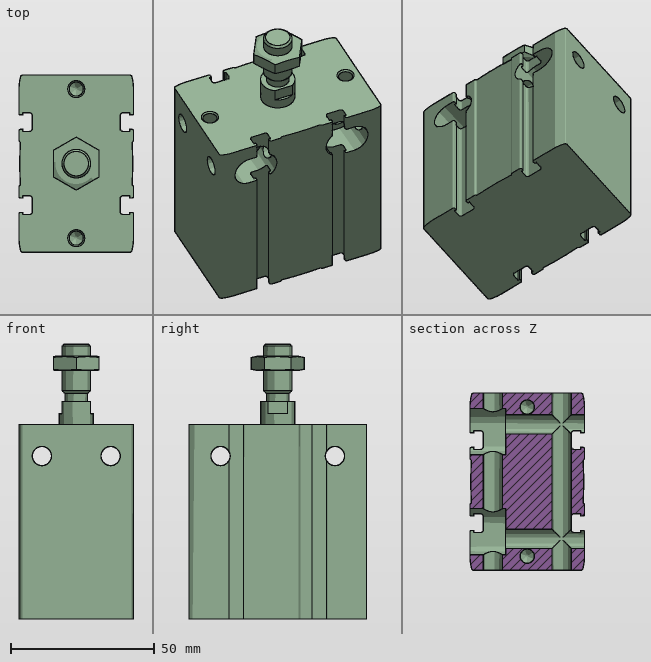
import cadquery as cq
import math

TOTAL_HEIGHT = 96.0
HOUSING_WIDTH = 40.0
HOUSING_LENGTH = 62.0
HOUSING_HEIGHT = 68.0

SIDE_ARC_RADIUS = 15.0
CORNER_ARC_START = 26.3
CORNER_RADIUS = 1.0

SIDE_RECESS_DEPTH = 0.5
SIDE_RECESS_MOUTH = 16.3
SIDE_RECESS_BLEND = 0.6
SIDE_RECESS_CROWN = 115.2

SLOT_OFFSET = 14.5
SLOT_MOUTH_WIDTH = 5.0
SLOT_WIDTH = 6.4
SLOT_LIP = 1.3
SLOT_DEPTH = 4.6
SLOT_CORNER_RADIUS = 0.9
SLOT_EDGE_RADIUS = 0.5

MOUNT_HOLE_DIAMETER = 6.6
MOUNT_HOLE_Z = HOUSING_HEIGHT - 11.0
CROSS_HOLE_X = 12.0
SIDE_HOLE_Y = 20.0
POCKET_WIDTH = 11.0
POCKET_INNER_Y = 15.0
POCKET_DEPTH = 12.5

TAP_DIAMETER = 4.9
TAP_MOUTH_DIAMETER = 6.0
TAP_Y = 26.0
TAP_DEPTH = 11.5
DRILL_POINT_ANGLE = 118.0

ROD_DIAMETER = 12.0
ROD_SHOULDER_Z = 76.0
FLATS_WIDTH = 10.0
FLATS_BOTTOM_Z = 71.7
NECK_DIAMETER = 8.0
THREAD_DIAMETER = 10.0
THREAD_END_DIAMETER = 8.5
THREAD_BOTTOM_Z = 79.8
THREAD_BOTTOM_TAPER = (THREAD_DIAMETER - NECK_DIAMETER) / 2
THREAD_TOP_CHAMFER = (THREAD_DIAMETER - THREAD_END_DIAMETER) / 2

NUT_ACROSS_FLATS = 16.0
NUT_THICKNESS = 5.0
NUT_TOP_Z = 91.8
NUT_FACE_DIAMETER = 14.4
NUT_CHAMFER_ANGLE = 12.0
HEXAGON_HALF_STEP = 30

HALF_WIDTH = HOUSING_WIDTH / 2
HALF_LENGTH = HOUSING_LENGTH / 2
SIDES = (-1, 1)


def side_arc_x(run):
    """X of the side arc at a given distance along Y past its start."""
    return HALF_WIDTH - SIDE_ARC_RADIUS + math.sqrt(SIDE_ARC_RADIUS**2 - run**2)


def housing_blank():
    """Block whose long sides curve inwards at both ends, with rounded corners."""
    arc_run = HALF_LENGTH - CORNER_ARC_START
    arc_middle = (side_arc_x(arc_run / 2), CORNER_ARC_START + arc_run / 2)
    outline = (
        cq.Workplane("XY")
        .moveTo(0, HALF_LENGTH)
        .lineTo(side_arc_x(arc_run), HALF_LENGTH)
        .threePointArc(arc_middle, (HALF_WIDTH, CORNER_ARC_START))
        .lineTo(HALF_WIDTH, 0)
        .mirrorX()
        .mirrorY()
    )
    block = outline.extrude(HOUSING_HEIGHT)
    return block.faces("<Y or >Y").edges("|Z").fillet(CORNER_RADIUS)


def side_recess():
    """Shallow relief in the middle of the +X side: S-shaped edges and a slightly convex floor."""
    arc_angle = math.acos(1 - SIDE_RECESS_DEPTH / 2 / SIDE_RECESS_BLEND)
    arc_run = SIDE_RECESS_BLEND * math.sin(arc_angle)
    half_run = SIDE_RECESS_BLEND * math.sin(arc_angle / 2)
    half_drop = SIDE_RECESS_BLEND * (1 - math.cos(arc_angle / 2))

    mouth_x = HALF_WIDTH
    mouth_y = SIDE_RECESS_MOUTH / 2
    inflection_x = mouth_x - SIDE_RECESS_DEPTH / 2
    inflection_y = mouth_y - arc_run
    floor_x = mouth_x - SIDE_RECESS_DEPTH
    floor_y = inflection_y - arc_run
    crown = SIDE_RECESS_CROWN - math.sqrt(SIDE_RECESS_CROWN**2 - floor_y**2)
    outer_arc_middle = (mouth_x - half_drop, mouth_y - half_run)
    inner_arc_middle = (floor_x + half_drop, floor_y + half_run)
    return (
        cq.Workplane("XY")
        .moveTo(mouth_x, mouth_y)
        .threePointArc(outer_arc_middle, (inflection_x, inflection_y))
        .threePointArc(inner_arc_middle, (floor_x, floor_y))
        .threePointArc((floor_x + crown, 0), (floor_x, -floor_y))
        .threePointArc((inner_arc_middle[0], -inner_arc_middle[1]), (inflection_x, -inflection_y))
        .threePointArc((outer_arc_middle[0], -outer_arc_middle[1]), (mouth_x, -mouth_y))
        .close()
        .extrude(HOUSING_HEIGHT)
    )


def sensor_slot(end):
    """T-shaped groove along the full height of the +X side, its mouth edges rounded outwards."""
    half_mouth = SLOT_MOUTH_WIDTH / 2
    round_end_x = HALF_WIDTH - SLOT_EDGE_RADIUS
    round_end_y = half_mouth + SLOT_EDGE_RADIUS
    round_middle_offset = SLOT_EDGE_RADIUS * (1 - math.sqrt(0.5))
    round_middle_x = HALF_WIDTH - round_middle_offset
    round_middle_y = half_mouth + round_middle_offset
    lip_x = HALF_WIDTH - SLOT_LIP
    mouth = (
        cq.Workplane("XY")
        .moveTo(lip_x, -half_mouth)
        .lineTo(round_end_x, -half_mouth)
        .threePointArc((round_middle_x, -round_middle_y), (HALF_WIDTH, -round_end_y))
        .lineTo(HALF_WIDTH, round_end_y)
        .threePointArc((round_middle_x, round_middle_y), (round_end_x, half_mouth))
        .lineTo(lip_x, half_mouth)
        .close()
        .extrude(HOUSING_HEIGHT)
    )
    channel_depth = SLOT_DEPTH - SLOT_LIP
    channel = (
        cq.Workplane("XY", origin=(lip_x - channel_depth / 2, 0, 0))
        .rect(channel_depth, SLOT_WIDTH)
        .extrude(HOUSING_HEIGHT)
        .edges("|Z and <X")
        .fillet(SLOT_CORNER_RADIUS)
    )
    return mouth.union(channel).translate((0, end * SLOT_OFFSET, 0))


def on_side(side, cutter):
    """Leave a cutter on the +X side, or turn it half a turn about Z onto the -X side."""
    return cutter if side > 0 else cutter.rotate((0, 0, 0), (0, 0, 1), 180)


def mount_hole_along_y(side):
    """Plain through hole from the front end to the back end."""
    return (
        cq.Workplane("XZ", origin=(side * CROSS_HOLE_X, HALF_LENGTH, MOUNT_HOLE_Z))
        .circle(MOUNT_HOLE_DIAMETER / 2)
        .extrude(HOUSING_LENGTH)
    )


def mount_hole_along_x(end):
    """Through hole across the housing that opens into a round-ended pocket on the -X side."""
    hole = (
        cq.Workplane("YZ", origin=(-HALF_WIDTH, end * SIDE_HOLE_Y, MOUNT_HOLE_Z))
        .circle(MOUNT_HOLE_DIAMETER / 2)
        .extrude(HOUSING_WIDTH)
    )
    pocket_length = SIDE_HOLE_Y - POCKET_INNER_Y + POCKET_WIDTH
    pocket_y = end * (SIDE_HOLE_Y + POCKET_INNER_Y) / 2
    pocket = (
        cq.Workplane("YZ", origin=(-HALF_WIDTH, pocket_y, MOUNT_HOLE_Z))
        .slot2D(pocket_length, POCKET_WIDTH)
        .extrude(POCKET_DEPTH)
    )
    return hole.union(pocket)


def tapped_hole(end):
    """Drilled hole with a cone bottom and a chamfered mouth in the top face."""
    radius = TAP_DIAMETER / 2
    mouth_radius = TAP_MOUTH_DIAMETER / 2
    point_length = radius / math.tan(math.radians(DRILL_POINT_ANGLE / 2))
    return (
        cq.Workplane("XZ")
        .polyline([
            (0, 0),
            (mouth_radius, 0),
            (radius, radius - mouth_radius),
            (radius, -TAP_DEPTH),
            (0, -TAP_DEPTH - point_length),
        ])
        .close()
        .revolve(360, (0, 0), (0, 1))
        .translate((0, end * TAP_Y, HOUSING_HEIGHT))
    )


def make_housing():
    housing = housing_blank()
    for side in SIDES:
        housing = housing.cut(on_side(side, side_recess()))
        housing = housing.cut(mount_hole_along_y(side))
        for end in SIDES:
            housing = housing.cut(on_side(side, sensor_slot(end)))
    for end in SIDES:
        housing = housing.cut(mount_hole_along_x(end))
        housing = housing.cut(tapped_hole(end))
    return housing


def make_rod():
    """Stepped rod standing on the housing, with two spanner flats facing along X."""
    rod = (
        cq.Workplane("XZ")
        .polyline([
            (0, HOUSING_HEIGHT),
            (ROD_DIAMETER / 2, HOUSING_HEIGHT),
            (ROD_DIAMETER / 2, ROD_SHOULDER_Z),
            (NECK_DIAMETER / 2, ROD_SHOULDER_Z),
            (NECK_DIAMETER / 2, THREAD_BOTTOM_Z - THREAD_BOTTOM_TAPER),
            (THREAD_DIAMETER / 2, THREAD_BOTTOM_Z),
            (THREAD_DIAMETER / 2, TOTAL_HEIGHT - THREAD_TOP_CHAMFER),
            (THREAD_END_DIAMETER / 2, TOTAL_HEIGHT),
            (0, TOTAL_HEIGHT),
        ])
        .close()
        .revolve(360, (0, 0), (0, 1))
    )
    for side in SIDES:
        beside_flat = cq.Workplane("XY").box(
            ROD_DIAMETER, ROD_DIAMETER, ROD_SHOULDER_Z - FLATS_BOTTOM_Z, centered=(True, True, False)
        )
        flat_offset = side * (FLATS_WIDTH + ROD_DIAMETER) / 2
        rod = rod.cut(beside_flat.translate((flat_offset, 0, FLATS_BOTTOM_Z)))
    return rod


def make_nut():
    """Hexagon nut, two flats facing along X, corners chamfered by a cone on both faces."""
    corner_radius = NUT_ACROSS_FLATS / 2 / math.cos(math.radians(HEXAGON_HALF_STEP))
    face_radius = NUT_FACE_DIAMETER / 2
    corner_drop = (corner_radius - face_radius) * math.tan(math.radians(NUT_CHAMFER_ANGLE))
    hexagon = (
        cq.Workplane("XY")
        .polygon(6, 2 * corner_radius)
        .circle(THREAD_DIAMETER / 2)
        .extrude(NUT_THICKNESS)
        .rotate((0, 0, 0), (0, 0, 1), HEXAGON_HALF_STEP)
    )
    chamfered_disc = (
        cq.Workplane("XZ")
        .polyline([
            (0, 0),
            (face_radius, 0),
            (corner_radius, corner_drop),
            (corner_radius, NUT_THICKNESS - corner_drop),
            (face_radius, NUT_THICKNESS),
            (0, NUT_THICKNESS),
        ])
        .close()
        .revolve(360, (0, 0), (0, 1))
    )
    return hexagon.intersect(chamfered_disc).translate((0, 0, NUT_TOP_Z - NUT_THICKNESS))


housing = make_housing()
rod = make_rod()
nut = make_nut()

result = cq.Compound.makeCompound([housing.val(), rod.val(), nut.val()])